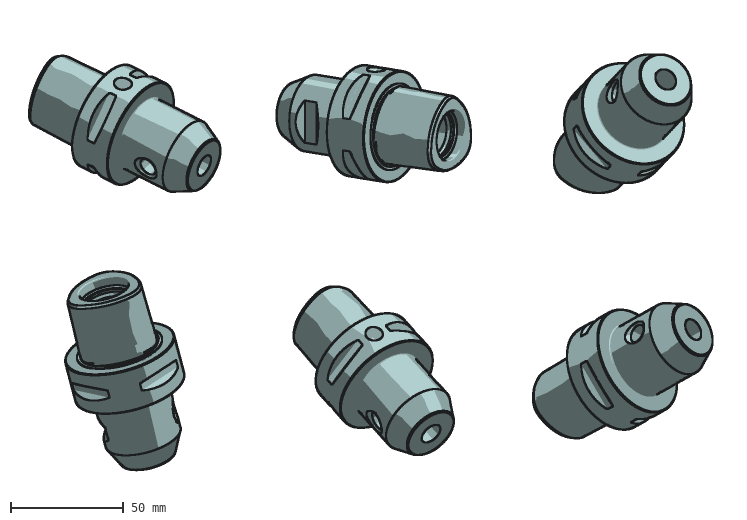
import cadquery as cq
import math

total_length = 85.0
shank_chamfer_end = 1.4
taper_end = 27.7
flange_start = 30.1
flange_end = 50.0
nose_cone_start = 74.8
nose_edge_length = 0.5

lobe_reach = 18.6
flat_reach = 16.5
lobe_radius = 10.2
taper_inset = 0.6
chamfer_inset = 0.8
neck_radius = 17.8
neck_start = 28.6
collar_length = 0.3
collar_radius = 17.9
face_groove_radius = 19.5

flange_radius = 25.0
flange_chamfer = 0.3
nose_radius = 17.25
nose_fillet = 0.7
nose_cone_radius = 12.7
nose_end_radius = 12.15

mouth_radius = 12.0
mouth_round = 0.8
entry_radius = mouth_radius - mouth_round
entry_depth = 4.25
lip_radius = 10.3
lip_depth = entry_depth + entry_radius - lip_radius
lip_end = 5.6
undercut_radius = 10.5
undercut_end = 7.05
undercut_cone_length = 1.9
main_bore_radius = 9.8
main_bore_depth = 23.8
step_mouth_radius = 7.9
step_radius = 7.1
step_length = 6.8
step_tip_angle = 118.0
through_radius = 5.0

slot_center_x = (flange_start + flange_end) / 2
slot_floor_width = 3.6
slot_floor_distance = 22.1
slot_floor_fillet = 0.3
slot_wall_angle = 30.0
dimple_radius = 4.1
dimple_depth = 4.1

clamp_x = 65.4
clamp_radius = 4.21
countersink_radius = 6.0
notch_floor_width = 6.1
notch_floor_y = 14.3


def lobed_outline(inset):
    """Closed YZ wire of tangent arcs, offset inward from the large end by inset."""
    corner_radius = lobe_radius - inset
    corner_offset = lobe_reach - lobe_radius
    gap = flat_reach - lobe_radius
    side_offset = (corner_offset**2 - gap**2) / (2 * gap - corner_offset)
    join_y = corner_offset * math.sin(math.pi / 3)
    join_z = side_offset + corner_offset * math.cos(math.pi / 3)
    reach = (flat_reach + side_offset - inset) / math.hypot(join_y, join_z)
    end_y = join_y * reach
    end_z = side_offset - join_z * reach
    end_distance = math.hypot(end_y, end_z)
    end_angle = math.atan2(end_z, end_y)
    half_corner = -math.pi / 6 - end_angle

    def point(distance, angle):
        return distance * math.cos(angle), distance * math.sin(angle)

    outline = cq.Workplane("YZ").moveTo(*point(end_distance, math.pi / 2 - half_corner))
    for lobe in range(3):
        tip = math.pi / 2 + lobe * 2 * math.pi / 3
        side = tip + math.pi / 3
        next_tip = tip + 2 * math.pi / 3
        outline = outline.threePointArc(
            point(corner_offset + corner_radius, tip), point(end_distance, tip + half_corner)
        )
        outline = outline.threePointArc(
            point(flat_reach - inset, side), point(end_distance, next_tip - half_corner)
        )
    return outline.close().wire().val()


def lobed_section(start, start_inset, end, end_inset):
    wires = [
        lobed_outline(start_inset).moved(cq.Location(cq.Vector(start, 0, 0))),
        lobed_outline(end_inset).moved(cq.Location(cq.Vector(end, 0, 0))),
    ]
    return cq.Workplane(cq.Solid.makeLoft(wires, True))


def revolved(points):
    """Turn a closed (x, radius) outline about the X axis."""
    return cq.Workplane("XY").polyline(points).close().revolve(360, (0, 0, 0), (1, 0, 0))


def make_shank():
    tip = lobed_section(0, taper_inset + chamfer_inset, shank_chamfer_end, taper_inset)
    taper = lobed_section(shank_chamfer_end, taper_inset, taper_end, 0)
    neck = lobed_section(taper_end, 0, flange_start, 0)
    corner_trim = (
        cq.Workplane("YZ", origin=(neck_start, 0, 0))
        .circle(flange_radius)
        .circle(neck_radius)
        .extrude(flange_start - neck_start)
    )
    return tip.union(taper).union(neck.cut(corner_trim))


def make_turned_body():
    collar = (
        cq.Workplane("YZ", origin=(flange_start - collar_length, 0, 0))
        .circle(collar_radius)
        .extrude(collar_length)
    )
    flange = (
        cq.Workplane("YZ", origin=(flange_start, 0, 0))
        .circle(flange_radius)
        .extrude(flange_end - flange_start)
        .edges()
        .chamfer(flange_chamfer)
    )
    nose = (
        cq.Workplane("XY")
        .moveTo(flange_end, 0)
        .lineTo(flange_end, nose_radius + nose_fillet)
        .radiusArc((flange_end + nose_fillet, nose_radius), -nose_fillet)
        .lineTo(nose_cone_start, nose_radius)
        .lineTo(total_length - nose_edge_length, nose_cone_radius)
        .lineTo(total_length, nose_end_radius)
        .lineTo(total_length, 0)
        .close()
        .revolve(360, (0, 0, 0), (1, 0, 0))
    )
    return collar.union(flange).union(nose)


def make_face_groove():
    """Half-round ring groove in the flange face, around the collar."""
    half_width = (face_groove_radius - collar_radius) / 2
    middle_radius = (face_groove_radius + collar_radius) / 2
    return (
        cq.Workplane("XY")
        .moveTo(flange_start, collar_radius)
        .threePointArc((flange_start + half_width, middle_radius), (flange_start, face_groove_radius))
        .close()
        .revolve(360, (0, 0, 0), (1, 0, 0))
    )


def make_bore():
    step_start = main_bore_depth + step_mouth_radius - step_radius
    step_cone_start = step_start + step_length
    half_tip = math.radians(step_tip_angle / 2)
    step_end = step_cone_start + (step_radius - through_radius) / math.tan(half_tip)
    mouth = (
        cq.Workplane("XY")
        .lineTo(0, mouth_radius)
        .radiusArc((mouth_round, entry_radius), -mouth_round)
        .lineTo(mouth_round, 0)
        .close()
        .revolve(360, (0, 0, 0), (1, 0, 0))
    )
    stepped_bore = revolved([
        (0, 0),
        (0, entry_radius),
        (entry_depth, entry_radius),
        (lip_depth, lip_radius),
        (lip_end, lip_radius),
        (lip_end, undercut_radius),
        (undercut_end, undercut_radius),
        (undercut_end + undercut_cone_length, main_bore_radius),
        (main_bore_depth, main_bore_radius),
        (main_bore_depth, step_mouth_radius),
        (step_start, step_radius),
        (step_cone_start, step_radius),
        (step_end, through_radius),
        (total_length, through_radius),
        (total_length, 0),
    ])
    return mouth.union(stepped_bore)


def make_gripper_slot(angle):
    depth = flange_radius - slot_floor_distance
    half_floor = slot_floor_width / 2
    half_mouth = half_floor + depth * math.tan(math.radians(slot_wall_angle))
    return (
        cq.Workplane("XZ", origin=(slot_center_x, 0, 0))
        .polyline([
            (-half_floor, slot_floor_distance),
            (half_floor, slot_floor_distance),
            (half_mouth, flange_radius),
            (-half_mouth, flange_radius),
        ])
        .close()
        .extrude(flange_radius, both=True)
        .edges("|Y and <Z")
        .fillet(slot_floor_fillet)
        .rotate((0, 0, 0), (1, 0, 0), angle)
    )


def make_index_dimple():
    return cq.Workplane(cq.Solid.makeCone(
        dimple_radius, 0, dimple_depth,
        cq.Vector(slot_center_x, 0, flange_radius), cq.Vector(0, 0, -1),
    ))


def make_clamp_hole():
    start = cq.Vector(clamp_x, -nose_radius, 0)
    inward = cq.Vector(0, 1, 0)
    hole = cq.Workplane(cq.Solid.makeCylinder(clamp_radius, nose_radius, start, inward))
    countersink_depth = countersink_radius - clamp_radius
    countersink = cq.Solid.makeCone(countersink_radius, clamp_radius, countersink_depth, start, inward)
    return hole.union(cq.Workplane(countersink))


def make_notch():
    half_floor = notch_floor_width / 2
    half_mouth = half_floor + nose_radius - notch_floor_y
    return (
        cq.Workplane("XY", origin=(clamp_x, 0, 0))
        .polyline([
            (-half_floor, notch_floor_y),
            (half_floor, notch_floor_y),
            (half_mouth, nose_radius),
            (-half_mouth, nose_radius),
        ])
        .close()
        .extrude(nose_radius, both=True)
    )


result = make_shank().union(make_turned_body())
result = result.cut(make_face_groove())
result = result.cut(make_bore())
for slot_angle in (45, 135, 225, 315):
    result = result.cut(make_gripper_slot(slot_angle))
result = result.cut(make_index_dimple())
result = result.cut(make_clamp_hole())
result = result.cut(make_notch())